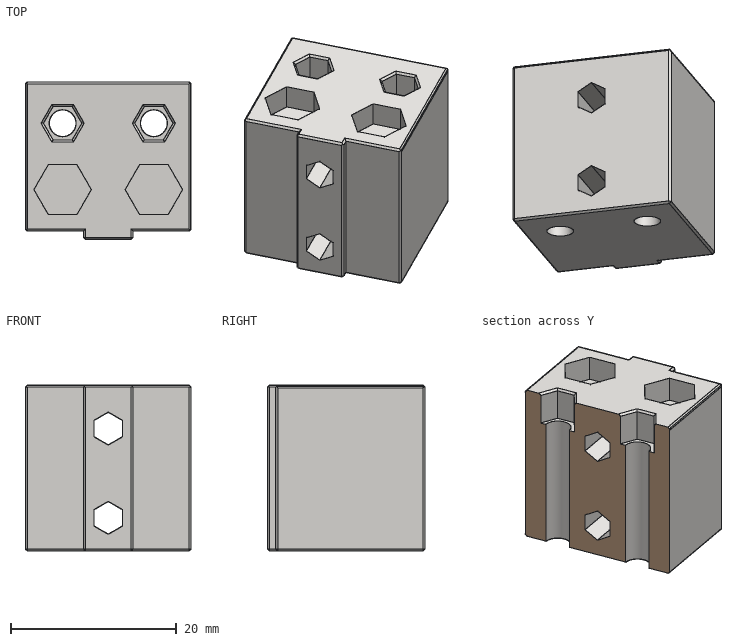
import cadquery as cq
import math

width = 20.0
height = 20.0
block_depth = 18.0
tongue_width = 6.0
tongue_projection = 1.0
edge_chamfer = tongue_projection / 4
shoulder_chamfer = 0.1

column_offset = 5.5
front_pocket_y = 5.0
front_pocket_flats = 6.0
front_pocket_depth = 3.0
rear_pocket_y = 13.0
rear_pocket_flats = 4.0
rear_pocket_depth = 4.0
rear_pocket_chamfer = edge_chamfer
rear_bore_diameter = 3.2

cross_hole_flats = 3.4
cross_hole_heights = (4.0, 14.75)


def corners_from_flats(flats):
    """Distance across the corners of a hexagon from its distance across flats."""
    return flats / math.cos(math.pi / 6)


def make_blank():
    """Sharp-edged block with the full-height tongue on its front face."""
    block = cq.Workplane("XY").box(width, block_depth, height, centered=(True, False, False))
    tongue = (
        cq.Workplane("XY", origin=(0, -tongue_projection, 0))
        .box(tongue_width, 2 * tongue_projection, height, centered=(True, False, False))
    )
    return block.union(tongue)


def make_body():
    """Blank with every outer edge chamfered; the top rim meets the uprights in points."""
    top_chamfered = make_blank().faces(">Z").edges().chamfer(edge_chamfer)
    rest_chamfered = (
        make_blank()
        .edges("<Z or (|Z and (<X or >X or <Y))")
        .chamfer(edge_chamfer)
    )
    return top_chamfered.intersect(rest_chamfered)


def break_shoulders(body):
    """Add a second small chamfer where the top chamfer meets each side face."""
    for side in ("<X", ">X"):
        body = body.faces(side).edges(">Z").chamfer(shoulder_chamfer)
    return body


def top_pocket(x, y, flats, depth):
    """Hexagonal cutter reaching down from the top face, corners along X."""
    return (
        cq.Workplane("XY", origin=(x, y, height))
        .polygon(6, corners_from_flats(flats))
        .extrude(-depth)
    )


def rear_pocket(x):
    """Chamfered hexagonal pocket with a round bore through its floor."""
    pocket = top_pocket(x, rear_pocket_y, rear_pocket_flats, rear_pocket_depth)
    mouth = (
        cq.Workplane("XY", origin=(x, rear_pocket_y, height))
        .polygon(6, corners_from_flats(rear_pocket_flats + 2 * rear_pocket_chamfer))
        .workplane(offset=-rear_pocket_chamfer)
        .polygon(6, corners_from_flats(rear_pocket_flats))
        .loft(ruled=True)
    )
    bore = (
        cq.Workplane("XY", origin=(x, rear_pocket_y, 0))
        .circle(rear_bore_diameter / 2)
        .extrude(height)
    )
    return pocket.union(mouth).union(bore)


def cross_hole(z):
    """Hexagonal cutter along Y with one corner pointing up."""
    return (
        cq.Workplane("XZ", origin=(0, block_depth, z))
        .transformed(rotate=(0, 0, 90))
        .polygon(6, corners_from_flats(cross_hole_flats))
        .extrude(block_depth + tongue_projection)
    )


result = break_shoulders(make_body())
for column_x in (-column_offset, column_offset):
    result = result.cut(top_pocket(column_x, front_pocket_y, front_pocket_flats, front_pocket_depth))
    result = result.cut(rear_pocket(column_x))
for hole_z in cross_hole_heights:
    result = result.cut(cross_hole(hole_z))